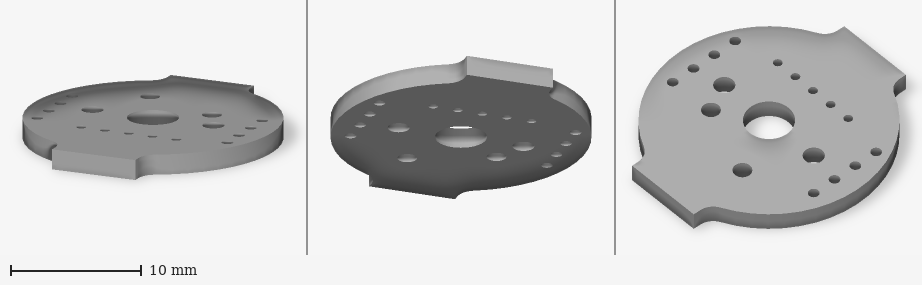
import cadquery as cq

thickness = 1.6
disc_diameter = 20.0
tab_width = 7.0
overall_length = 22.0
tab_root_radius = 1.5

bore_diameter = 3.99
side_hole_diameter = 1.7
side_hole_offset = 5.08

offset_hole_diameter = 1.52
offset_hole_centers = [(-2.54, 5.08), (3.81, 2.54)]

column_hole_diameter = 0.9
column_hole_count = 4
column_pitch = 2.16
left_column_center = (-8.02, -0.55)
right_column_center = (7.97, -0.53)

row_hole_diameter = 0.75
row_hole_count = 5
row_pitch = 2.0
row_center = (0.06, -4.62)


def make_plate():
    """Disc joined to a strip whose ends form the tabs, with rounded tab roots."""
    disc = cq.Workplane("XY").circle(disc_diameter / 2).extrude(thickness)
    strip = cq.Workplane("XY").rect(tab_width, overall_length).extrude(thickness)
    root_zone_length = overall_length - tab_root_radius
    root_zone = cq.selectors.BoxSelector(
        (-tab_width, -root_zone_length / 2, -thickness),
        (tab_width, root_zone_length / 2, 2 * thickness),
    )
    return disc.union(strip).edges("|Z").edges(root_zone).fillet(tab_root_radius)


def line_of_points(center, count, pitch, direction):
    """Evenly spaced points centred on a point, along a unit direction."""
    steps = [(i - (count - 1) / 2) * pitch for i in range(count)]
    return [(center[0] + s * direction[0], center[1] + s * direction[1]) for s in steps]


def drill(body, centers, diameter):
    """Cut round holes right through the plate."""
    cutters = cq.Workplane("XY").pushPoints(centers).circle(diameter / 2).extrude(thickness)
    return body.cut(cutters)


along_x = (1, 0)
along_y = (0, 1)

result = make_plate()
result = drill(result, [(0, 0)], bore_diameter)
result = drill(result, [(-side_hole_offset, 0), (side_hole_offset, 0)], side_hole_diameter)
result = drill(result, offset_hole_centers, offset_hole_diameter)
for column_center in (left_column_center, right_column_center):
    column = line_of_points(column_center, column_hole_count, column_pitch, along_y)
    result = drill(result, column, column_hole_diameter)
row = line_of_points(row_center, row_hole_count, row_pitch, along_x)
result = drill(result, row, row_hole_diameter)